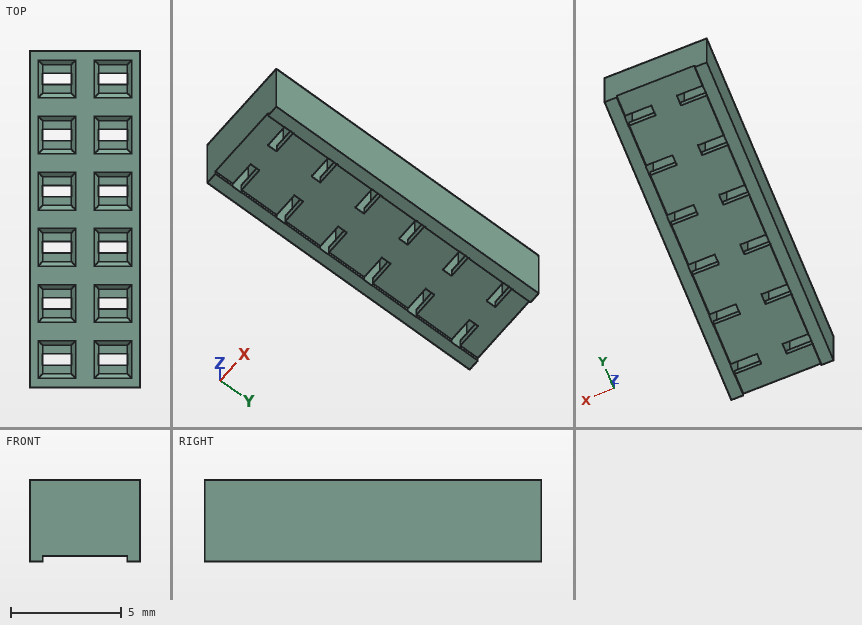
import cadquery as cq

length = 15.24
width = 5.0
height = 3.7

columns = 2
rows = 6
pitch = length / rows

cavity_size = 1.3
mouth_size = 1.7
mouth_depth = (mouth_size - cavity_size) / 2
floor_thickness = 0.5
slot_width = 0.5

rail_width = 0.6
channel_depth = 0.25
channel_width = width - 2 * rail_width


def make_housing():
    """Block resting on Z = 0 with a full-length channel in its underside."""
    block = cq.Workplane("XY").box(width, length, height, centered=(True, True, False))
    channel = cq.Workplane("XY").box(
        channel_width, length, channel_depth, centered=(True, True, False)
    )
    return block.cut(channel)


def make_contact_cavity():
    """Cutting tool for one contact position, centred on the Z axis."""
    floor_top = channel_depth + floor_thickness
    slot = cq.Workplane("XY").rect(cavity_size, slot_width).extrude(height)
    pocket = (
        cq.Workplane("XY")
        .workplane(offset=floor_top)
        .rect(cavity_size, cavity_size)
        .extrude(height - floor_top)
    )
    mouth = (
        cq.Workplane("XY")
        .workplane(offset=height - mouth_depth)
        .rect(cavity_size, cavity_size)
        .workplane(offset=mouth_depth)
        .rect(mouth_size, mouth_size)
        .loft(ruled=True)
    )
    return slot.union(pocket).union(mouth)


result = make_housing()
cavity = make_contact_cavity()
for column in range(columns):
    for row in range(rows):
        x = (column - (columns - 1) / 2) * pitch
        y = (row - (rows - 1) / 2) * pitch
        result = result.cut(cavity.translate((x, y, 0)))